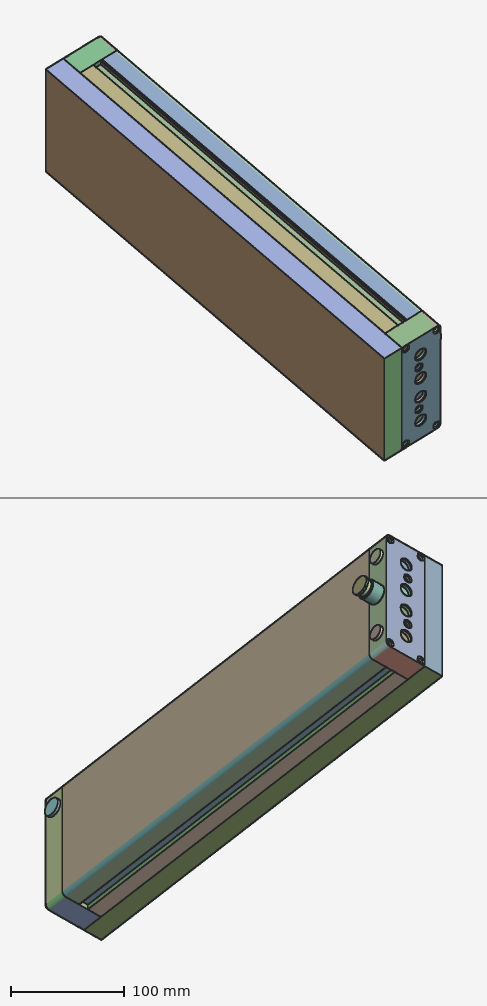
import cadquery as cq

length = 460.0
height = 130.0
cover_depth = 20.2
housing_back = 65.0
cap_length = 23.0
edge_radius = 4.0
mid_height = height / 2

groove_near = 35.5
groove_far = 45.5
groove_depth = 5.5
ledge_width = 1.5
ledge_depth = 1.6

hole_depth = 3.5
screw_mouth = 8.0
screw_bore = 5.5
screw_edge = 4.5
plug_hole_mouth = 13.0
plug_hole_bore = 11.5
plug_hole_y = 42.0
plug_hole_offsets = (12.0, 42.0)
pin_hole_mouth = 8.7
pin_hole_bore = 6.5
pin_hole_y = 40.0
pin_hole_offset = 26.5

plug_height = 3.0
plug_offset = 44.5
small_plug_diameter = 14.3
large_plug_diameter = 18.0

gland_tip = 86.0
gland_diameter = 19.5
gland_body_end = 79.0
gland_chamfer = 1.0
neck_diameter = 15.5
flange_diameter = 18.5
flange_thickness = 2.5
cap_middle = cap_length / 2


def block(x_start, x_end, y_start, y_end):
    """Full-height block between two X and two Y positions."""
    blank = cq.Workplane("XY").box(x_end - x_start, y_end - y_start, height, centered=False)
    return blank.translate((x_start, y_start, 0))


def housing_block(x_start, x_end):
    """Piece of the housing behind the cover, with rounded rear edges."""
    return block(x_start, x_end, cover_depth, housing_back).edges(">Y and |X").fillet(edge_radius)


def back_disc(x, z, diameter, y_start, y_end):
    """Disc that stands out in +Y from y_start to y_end."""
    return cq.Workplane("XZ", origin=(x, y_start, z)).circle(diameter / 2).extrude(y_start - y_end)


def make_cover():
    return block(0, length, 0, cover_depth)


def make_groove():
    """Stepped cutter for the groove in the upper face."""
    outline = [
        (groove_near, height),
        (groove_near, height - groove_depth),
        (groove_far - ledge_width, height - groove_depth),
        (groove_far - ledge_width, height - ledge_depth),
        (groove_far, height - ledge_depth),
        (groove_far, height),
    ]
    return cq.Workplane("YZ").polyline(outline).close().extrude(length)


def make_profile():
    upper_groove = make_groove()
    lower_groove = upper_groove.mirror("XY", (0, 0, mid_height))
    return housing_block(cap_length, length - cap_length).cut(upper_groove).cut(lower_groove)


def hole_cutter(y, z, mouth, bore):
    """Cutter for one blind hole that opens in the end face at X = 0."""
    chamfer = (mouth - bore) / 2
    half_section = [
        (0, 0),
        (0, mouth / 2),
        (chamfer, bore / 2),
        (hole_depth, bore / 2),
        (hole_depth, 0),
    ]
    cutter = cq.Workplane("XY").polyline(half_section).close().revolve(360, (0, 0), (1, 0))
    return cutter.translate((0, y, z))


def cut_end_holes(cap):
    """Cut the mirrored pairs of holes into the end face at X = 0."""
    screw_offset = mid_height - screw_edge
    holes = [(plug_hole_y, offset, plug_hole_mouth, plug_hole_bore) for offset in plug_hole_offsets]
    holes.append((pin_hole_y, pin_hole_offset, pin_hole_mouth, pin_hole_bore))
    for screw_y in (cover_depth + screw_edge, housing_back - screw_edge):
        holes.append((screw_y, screw_offset, screw_mouth, screw_bore))
    for y, offset, mouth, bore in holes:
        for side in (1, -1):
            cap = cap.cut(hole_cutter(y, mid_height + side * offset, mouth, bore))
    return cap


def make_bare_cap():
    """End cap at X = 0 without its rear fittings."""
    return cut_end_holes(housing_block(0, cap_length))


def make_gland():
    body = back_disc(cap_middle, mid_height, gland_diameter, housing_back, gland_body_end)
    body = body.faces("|Y").chamfer(gland_chamfer)
    neck = back_disc(cap_middle, mid_height, neck_diameter, gland_body_end, gland_tip)
    flange = back_disc(cap_middle, mid_height, flange_diameter, gland_tip - flange_thickness, gland_tip)
    return body.union(neck).union(flange)


def make_plug(x, z, diameter):
    return back_disc(x, z, diameter, housing_back, housing_back + plug_height)


def make_left_cap():
    cap = make_bare_cap().union(make_gland())
    for side in (1, -1):
        cap = cap.union(make_plug(cap_middle, mid_height + side * plug_offset, small_plug_diameter))
    return cap


def make_right_cap():
    cap = make_bare_cap().mirror("YZ", (length / 2, 0, 0))
    plug = make_plug(length - cap_middle, mid_height + plug_offset, large_plug_diameter)
    return cap.union(plug)


cover = make_cover()
profile = make_profile()
left_cap = make_left_cap()
right_cap = make_right_cap()

result = cq.Compound.makeCompound([cover.val(), profile.val(), left_cap.val(), right_cap.val()])